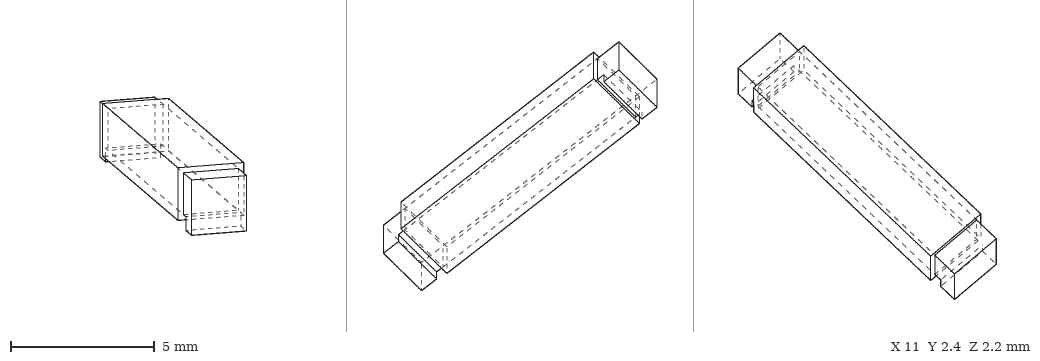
import cadquery as cq

core_length = 11.0
core_width = 2.0
foot_length = 0.7
foot_height = 0.5

winding_length = 9.0
wall = 0.2

overall_height = 2.2
core_height = overall_height - wall
bar_height = core_height - foot_height
winding_width = core_width + 2 * wall
winding_height = bar_height + 2 * wall


def box_from(bottom, length, width, height):
    """Box centred on X and Y, standing on the given Z level."""
    return (
        cq.Workplane("XY")
        .workplane(offset=bottom)
        .box(length, width, height, centered=(True, True, False))
    )


def make_core():
    """Bar with the space between its two feet cut away."""
    foot_gap = core_length - 2 * foot_length
    blank = box_from(0, core_length, core_width, core_height)
    return blank.cut(box_from(0, foot_gap, core_width, foot_height))


def make_winding():
    """Sleeve with an even wall and a through opening that fits the bar."""
    sleeve = box_from(foot_height - wall, winding_length, winding_width, winding_height)
    opening = box_from(foot_height, winding_length, core_width, bar_height)
    return sleeve.cut(opening)


core = make_core()
winding = make_winding()

result = cq.Compound.makeCompound([core.val(), winding.val()])